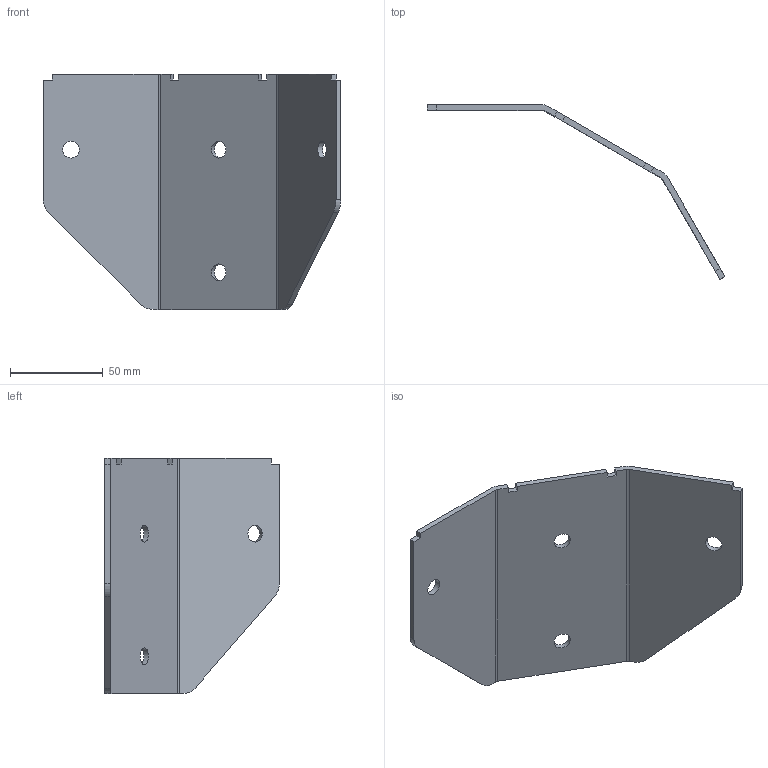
import cadquery as cq
import math

thickness = 3.0
height = 126.5
bend_angle = 30.0
inner_radius = 3.0
outer_radius = inner_radius + thickness

wing_length = 63.5
center_length = 75.0
bend_setback = outer_radius * math.tan(math.radians(bend_angle / 2))
wing_flat = wing_length - bend_setback
center_flat = center_length - 2 * bend_setback

hole_diameter = 9.0
upper_hole_drop = 40.5
hole_spacing = 66.0
wing_hole_inset = 15.0
notch_width = 5.0
notch_depth = 3.0
notch_spacing = 55.0
wing_chamfer = 55.2
corner_radius = 10.0
corner_angle = 45.0

cut_reach = 2 * thickness
upper_hole_z = height - upper_hole_drop
lower_hole_z = upper_hole_z - hole_spacing


def along(point, angle, distance):
    """Point reached by going a distance from a point, at an angle in degrees from +X."""
    turn = math.radians(angle)
    return (point[0] + distance * math.cos(turn), point[1] + distance * math.sin(turn))


def inside(point, angle, distance):
    """Point at a distance from a panel's outer face, on the inner side of the bends."""
    return along(point, angle - 90, distance)


center_angle = -bend_angle
far_angle = -2 * bend_angle
bend_chord = 2 * outer_radius * math.sin(math.radians(bend_angle / 2))

near_start = (0.0, 0.0)
near_end = along(near_start, 0, wing_flat)
center_start = along(near_end, -bend_angle / 2, bend_chord)
center_end = along(center_start, center_angle, center_flat)
far_start = along(center_end, center_angle - bend_angle / 2, bend_chord)
far_end = along(far_start, far_angle, wing_flat)


def bend_middle(start, angle, radius):
    """Middle of a bend arc that follows a flat ending at start on the outer face."""
    center = inside(start, angle, outer_radius)
    return along(center, angle + 90 - bend_angle / 2, radius)


def bent_sheet():
    """Full-height sheet with two bends, before any cut-outs."""
    return (
        cq.Workplane("XY")
        .moveTo(*near_start)
        .lineTo(*near_end)
        .threePointArc(bend_middle(near_end, 0, outer_radius), center_start)
        .lineTo(*center_end)
        .threePointArc(bend_middle(center_end, center_angle, outer_radius), far_start)
        .lineTo(*far_end)
        .lineTo(*inside(far_end, far_angle, thickness))
        .lineTo(*inside(far_start, far_angle, thickness))
        .threePointArc(
            bend_middle(center_end, center_angle, inner_radius),
            inside(center_end, center_angle, thickness),
        )
        .lineTo(*inside(center_start, center_angle, thickness))
        .threePointArc(
            bend_middle(near_end, 0, inner_radius),
            inside(near_end, 0, thickness),
        )
        .lineTo(*inside(near_start, 0, thickness))
        .close()
        .extrude(height)
    )


def panel_plane(origin, angle):
    """Workplane on a panel's outer face: local x runs along the panel, local y is Z."""
    direction = along((0, 0), angle, 1)
    normal = inside((0, 0), angle, 1)
    return cq.Workplane(cq.Plane((*origin, 0), xDir=(*direction, 0), normal=(*normal, 0)))


def hole(plane, x, z):
    """Round cutter square to the panel, at x along it and height z."""
    return plane.center(x, z).circle(hole_diameter / 2).extrude(cut_reach, both=True)


def top_notch(plane, x, width):
    """Notch in the top edge, centred at x along the panel."""
    return (
        plane.center(x, height)
        .rect(width, 2 * notch_depth)
        .extrude(cut_reach, both=True)
    )


def wing_corner(plane):
    """Slanted lower corner of a wing, blended into the edges by two rounds."""
    half_turn = math.radians(corner_angle / 2)
    tangent = corner_radius * math.tan(half_turn)
    slant_run = tangent * math.cos(2 * half_turn)
    arc_end = wing_chamfer + tangent
    slant_end = wing_chamfer - slant_run
    arc_middle = arc_end - corner_radius * math.sin(half_turn)
    arc_offset = corner_radius * (1 - math.cos(half_turn))
    return (
        plane.moveTo(0, 0)
        .lineTo(arc_end, 0)
        .threePointArc((arc_middle, arc_offset), (slant_end, slant_run))
        .lineTo(slant_run, slant_end)
        .threePointArc((arc_offset, arc_middle), (0, arc_end))
        .close()
        .extrude(cut_reach, both=True)
    )


def cut_wing(body, plane):
    """Hole, upper corner notch and lower corner of a wing, measured from its free edge."""
    corner_notch = top_notch(plane, 0, 2 * notch_width)
    return (
        body.cut(hole(plane, wing_hole_inset, upper_hole_z))
        .cut(corner_notch)
        .cut(wing_corner(plane))
    )


def cut_center(body, plane):
    """Two holes on the centreline and two notches in the top edge of the middle panel."""
    middle = center_flat / 2
    for z in (upper_hole_z, lower_hole_z):
        body = body.cut(hole(plane, middle, z))
    for side in (-1, 1):
        body = body.cut(top_notch(plane, middle + side * notch_spacing / 2, notch_width))
    return body


result = bent_sheet()
result = cut_wing(result, panel_plane(near_start, 0))
result = cut_center(result, panel_plane(center_start, center_angle))
result = cut_wing(result, panel_plane(far_end, far_angle + 180))